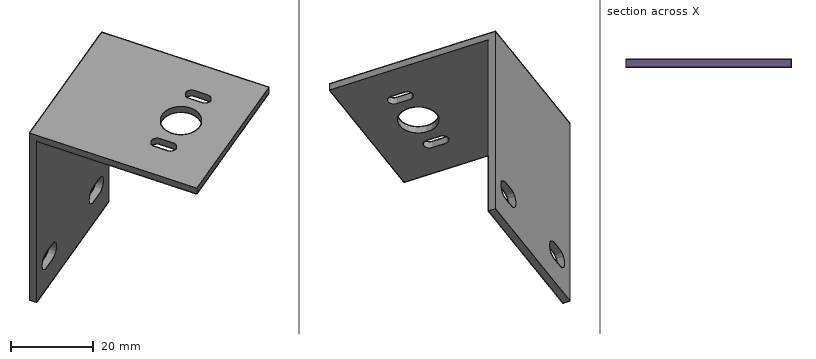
import cadquery as cq

length_x = 45.0
width_y = 40.0
height_z = 55.0
thickness = 2.0

bore_diameter = 10.0
bore_from_bend = 31.0
top_slot_length = 6.6
top_slot_width = 3.0
top_slot_spacing = 19.05

side_slot_length = 8.0
side_slot_width = 5.0
side_slot_spacing = 26.0
side_slot_height = 9.5


def plate(size_x, size_z):
    """Flange with its outer bend edge on the Y axis, extending to +X and -Z."""
    return cq.Workplane("XY").box(size_x, width_y, size_z, centered=(False, True, False)).translate(
        (0, 0, -size_z)
    )


def slot_pair(workplane, spacing, slot_length, slot_width, slot_angle):
    """Two slot cutters spread along Y, each passing through one flange."""
    centers = [(0, -spacing / 2), (0, spacing / 2)]
    return workplane.pushPoints(centers).slot2D(slot_length, slot_width, slot_angle).extrude(thickness)


body = plate(length_x, thickness).union(plate(thickness, height_z))

top_plane = cq.Workplane("XY", origin=(bore_from_bend, 0, -thickness))
bore = top_plane.circle(bore_diameter / 2).extrude(thickness)
top_slots = slot_pair(top_plane, top_slot_spacing, top_slot_length, top_slot_width, 0)

side_origin = (0, 0, side_slot_height - height_z)
side_plane = cq.Workplane(cq.Plane(origin=side_origin, xDir=(0, 0, -1), normal=(1, 0, 0)))
side_slots = slot_pair(side_plane, side_slot_spacing, side_slot_length, side_slot_width, 90)

result = body.cut(bore).cut(top_slots).cut(side_slots)